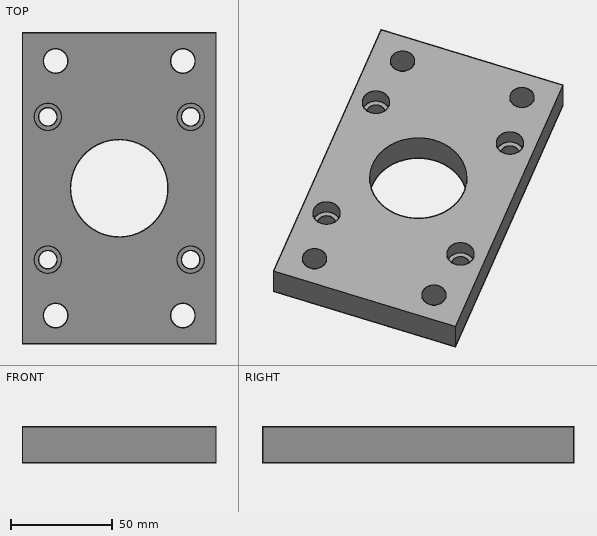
import cadquery as cq

PLATE_WIDTH = 96.0
PLATE_LENGTH = 154.0
PLATE_THICKNESS = 18.0

BORE_DIAMETER = 48.1

CORNER_HOLE_DIAMETER = 12.0
CORNER_SPACING_X = 63.0
CORNER_SPACING_Y = 126.0

SCREW_HOLE_DIAMETER = 9.0
COUNTERBORE_DIAMETER = 13.5
COUNTERBORE_DEPTH = 9.0
SCREW_SPACING = 70.7


def make_plate():
    """Flat rectangular plate, centred in X and Y, standing on Z = 0."""
    return cq.Workplane("XY").box(
        PLATE_WIDTH, PLATE_LENGTH, PLATE_THICKNESS, centered=(True, True, False)
    )


def cut_central_bore(body):
    return body.faces(">Z").workplane().hole(BORE_DIAMETER)


def cut_corner_holes(body):
    return (
        body.faces(">Z")
        .workplane()
        .rect(CORNER_SPACING_X, CORNER_SPACING_Y, forConstruction=True)
        .vertices()
        .hole(CORNER_HOLE_DIAMETER)
    )


def cut_screw_holes(body):
    """Four through holes, counterbored from the top face."""
    return (
        body.faces(">Z")
        .workplane()
        .rect(SCREW_SPACING, SCREW_SPACING, forConstruction=True)
        .vertices()
        .cboreHole(SCREW_HOLE_DIAMETER, COUNTERBORE_DIAMETER, COUNTERBORE_DEPTH)
    )


plate = make_plate()
plate = cut_central_bore(plate)
plate = cut_corner_holes(plate)
result = cut_screw_holes(plate)